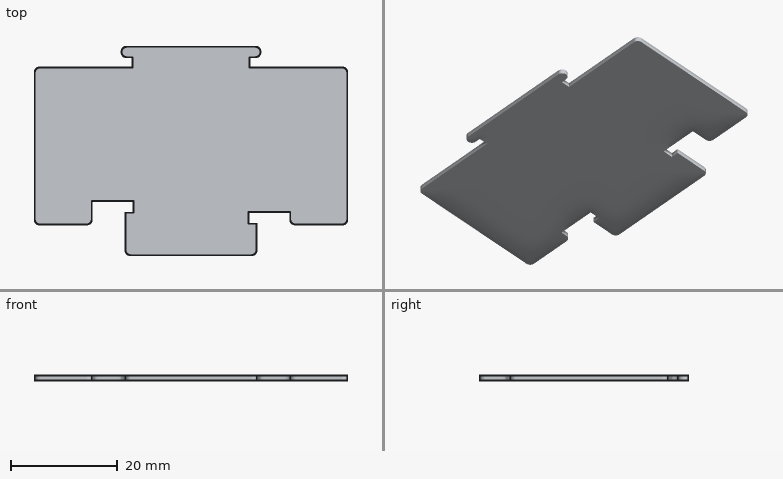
import cadquery as cq

thickness = 1.0
total_depth = 39.0
corner_radius = 1.0

body_width = 58.5
body_bottom = 5.75
body_top = 35.15

neck_width = 21.95
head_width = 26.05
head_depth = 2.0

tab_width = 24.55

notch_outer_x = 18.55
notch_inner_x = 10.75
undercut_depth = 2.15
left_notch_top = 10.1
right_notch_top = 8.1


def block(x_min, x_max, y_min, y_max):
    """Full-thickness rectangular block between the given limits."""
    return (
        cq.Workplane("XY")
        .center((x_min + x_max) / 2, (y_min + y_max) / 2)
        .rect(x_max - x_min, y_max - y_min)
        .extrude(thickness)
    )


def front_foot(side, notch_top):
    """Part of the body outside a notch, with its two front corners rounded."""
    x_limits = sorted((side * notch_outer_x, side * body_width / 2))
    return block(*x_limits, body_bottom, notch_top).edges("|Z and <Y").fillet(corner_radius)


def main_body():
    """Body behind the notches, with both feet, stepped where the notches differ in depth."""
    half_width = body_width / 2
    rear = block(-half_width, half_width, left_notch_top, body_top)
    rear = rear.edges("|Z and >Y").fillet(corner_radius)
    right_step = block(-notch_inner_x, half_width, right_notch_top, left_notch_top)
    return (
        rear.union(right_step)
        .union(front_foot(-1, left_notch_top))
        .union(front_foot(1, right_notch_top))
    )


def front_tab():
    """Tab whose sides end at the undercuts, joined to the body by a narrower root."""
    half_width = tab_width / 2
    left_end = left_notch_top - undercut_depth
    right_end = right_notch_top - undercut_depth
    root = block(-notch_inner_x, notch_inner_x, right_end, left_notch_top)
    left_side = block(-half_width, 0, 0, left_end).edges("|Z and <X and <Y").fillet(corner_radius)
    right_side = block(0, half_width, 0, right_end).edges("|Z and >X and <Y").fillet(corner_radius)
    return root.union(left_side).union(right_side)


def rear_hook():
    """Neck and round-ended head projecting from the rear edge."""
    neck = block(-neck_width / 2, neck_width / 2, body_top, total_depth - head_depth / 2)
    head = (
        cq.Workplane("XY")
        .center(0, total_depth - head_depth / 2)
        .slot2D(head_width, head_depth)
        .extrude(thickness)
    )
    return neck.union(head)


result = main_body().union(front_tab()).union(rear_hook()).clean()